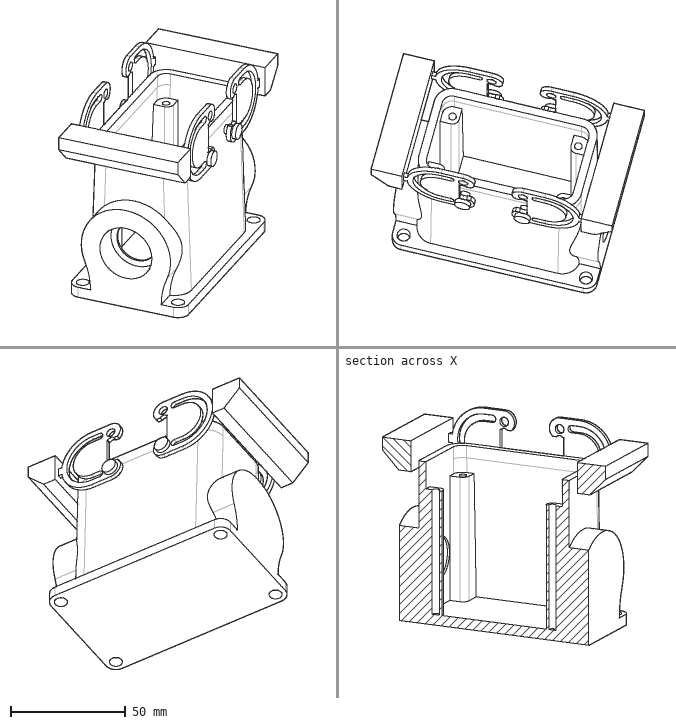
import cadquery as cq
import math

flange_half_x = 27.8
flange_half_y = 46.2
flange_height = 5.0
flange_corner_radius = 5.0
screw_hole_radius = 2.8

foot_half_x = 23.9
rim_half_x = 21.5
shell_half_y = 36.7
shell_corner_radius = 8.0
wall = 3.6
rim_bottom_z = 68.3
rim_top_z = 73.9
floor_z = 5.0

post_top_z = 61.6
post_inner_x = 9.9
post_inner_y = 25.3
post_edge_radius = 2.9
post_hole_x = 13.5
post_hole_y = 28.5
post_hole_radius = 1.6

entry_z = 26.9
entry_radius = 21.4
neck_half_x = 16.9
entry_bore_radius = 12.4
entry_hole_radius = 9.6
entry_shelf = 1.0

lever_z = 74.5
side_plate_inner_x = 24.0
side_plate_thickness = 2.0
bow_center_y = 23.3
slot_outer_radius = 12.9
slot_inner_radius = 9.6
slot_end_y = 19.3
plate_edge_y = 15.5
hook_y = 13.5
hook_offset_z = 10.6
hook_radius = 5.0
hook_hole_radius = 2.1
hook_tip_offset_z = 6.9
notch_radius = 2.0
notch_offset_z = 5.7
tab_half_z = 2.0

handle_length = 57.0
handle_inner_y = 40.5
handle_outer_y = 54.5
handle_top_z = 82.5
handle_bottom_z = 68.3
handle_slope_top_z = 76.5
handle_slope_bottom_y = 46.5

pin_head_radius = 3.5
pin_head_outer_x = flange_half_x
pin_end_x = 19.8

bow_radius = hook_offset_z + hook_radius
side_plate_outer_x = side_plate_inner_x + side_plate_thickness
pivot_z = lever_z - hook_offset_z
sides = (-1, 1)


def shell_block(inset, z_bottom):
    """Block with drafted X sides, a straight rim and round corners, offset inward by inset."""
    foot_x = foot_half_x - inset
    rim_x = rim_half_x - inset
    return (
        cq.Workplane("XZ")
        .polyline([
            (-foot_x, z_bottom),
            (foot_x, z_bottom),
            (rim_x, rim_bottom_z),
            (rim_x, rim_top_z),
            (-rim_x, rim_top_z),
            (-rim_x, rim_bottom_z),
        ])
        .close().extrude(shell_half_y - inset, both=True)
        .edges("not #Z").fillet(shell_corner_radius - inset)
    )


def flange():
    """Base plate with a screw hole concentric with each round corner."""
    plate = (
        cq.Workplane("XY")
        .rect(2 * flange_half_x, 2 * flange_half_y).extrude(flange_height)
        .edges("|Z").fillet(flange_corner_radius)
    )
    return (
        plate.faces(">Z").workplane(origin=(0, 0, 0))
        .rect(
            2 * (flange_half_x - flange_corner_radius),
            2 * (flange_half_y - flange_corner_radius),
            forConstruction=True,
        )
        .vertices().hole(2 * screw_hole_radius)
    )


def entry_bosses():
    """Round bosses on a waisted neck, running the full length of the flange."""
    drop = entry_z - flange_height
    blend_radius = (drop**2 + neck_half_x**2 - entry_radius**2) / (2 * (entry_radius - neck_half_x))
    blend_x = neck_half_x + blend_radius
    angle = math.atan2(drop, blend_x)
    tangent_x = entry_radius * math.cos(angle)
    tangent_z = entry_z - entry_radius * math.sin(angle)
    mid_x = blend_x - blend_radius * math.cos(angle / 2)
    mid_z = flange_height + blend_radius * math.sin(angle / 2)
    return (
        cq.Workplane("XZ")
        .moveTo(-neck_half_x, 0)
        .lineTo(-neck_half_x, flange_height)
        .threePointArc((-mid_x, mid_z), (-tangent_x, tangent_z))
        .threePointArc((0, entry_z + entry_radius), (tangent_x, tangent_z))
        .threePointArc((mid_x, mid_z), (neck_half_x, flange_height))
        .lineTo(neck_half_x, 0)
        .close()
        .extrude(flange_half_y, both=True)
    )


def end_cylinder(radius, y_start, y_end):
    """Cylinder along Y on the axis of the cable entries."""
    return (
        cq.Workplane("XZ", origin=(0, y_start, entry_z))
        .circle(radius).extrude(y_start - y_end)
    )


def corner_post(side_x, side_y, cavity):
    """Post filling one cavity corner, with a screw hole and a round inner edge."""
    height = post_top_z - floor_z
    block = (
        cq.Workplane("XY", origin=(0, 0, floor_z))
        .moveTo(side_x * post_inner_x, side_y * post_inner_y)
        .lineTo(side_x * foot_half_x, side_y * post_inner_y)
        .lineTo(side_x * foot_half_x, side_y * shell_half_y)
        .lineTo(side_x * post_inner_x, side_y * shell_half_y)
        .close().extrude(height)
    )
    inner_edge_middle = (side_x * post_inner_x, side_y * post_inner_y, floor_z + height / 2)
    block = block.edges(cq.selectors.NearestToPointSelector(inner_edge_middle)).fillet(post_edge_radius)
    hole = (
        cq.Workplane("XY", origin=(side_x * post_hole_x, side_y * post_hole_y, floor_z))
        .circle(post_hole_radius).extrude(height)
    )
    return block.cut(hole).intersect(cavity)


def build_housing():
    """Open-topped shell on its flange, with an entry through the -Y wall and a plain +Y boss."""
    cavity = shell_block(wall, floor_z)
    body = flange().union(shell_block(0, 0)).union(entry_bosses()).cut(cavity)
    for side_x in sides:
        for side_y in sides:
            body = body.union(corner_post(side_x, side_y, cavity))
    inner_y = shell_half_y - wall
    bore = end_cylinder(entry_bore_radius, -(inner_y + entry_shelf), -flange_half_y)
    hole = end_cylinder(entry_hole_radius, -inner_y, -flange_half_y)
    return body.cut(bore).cut(hole)


def plate_plane():
    """YZ plane on the inner face of the +X side plate."""
    return cq.Workplane("YZ", origin=(side_plate_inner_x, 0, lever_z))


def bow(radius, end_y):
    """D-shaped blank: a half disc on its +Y side, straight edges running back to end_y."""
    return (
        plate_plane()
        .moveTo(end_y, -radius)
        .lineTo(bow_center_y, -radius)
        .threePointArc((bow_center_y + radius, 0), (bow_center_y, radius))
        .lineTo(end_y, radius)
        .close()
        .extrude(side_plate_thickness)
    )


def plate_disc(y, offset_z, radius):
    """Disc as thick as the side plate."""
    return plate_plane().center(y, offset_z).circle(radius).extrude(side_plate_thickness)


def side_plate():
    """+X side plate of the +Y lever: a slotted bow with a hook at each end."""
    plate = bow(bow_radius, hook_y)
    slot = bow(slot_outer_radius, slot_end_y).cut(bow(slot_inner_radius, slot_end_y))
    slot_end_radius = (slot_outer_radius - slot_inner_radius) / 2
    slot_end_offset_z = (slot_outer_radius + slot_inner_radius) / 2
    mouth = (
        plate_plane().center(plate_edge_y / 2, 0)
        .rect(plate_edge_y, 2 * hook_tip_offset_z).extrude(side_plate_thickness)
    )
    for side in sides:
        plate = plate.union(plate_disc(hook_y, side * hook_offset_z, hook_radius))
        slot = slot.union(plate_disc(slot_end_y, side * slot_end_offset_z, slot_end_radius))
        mouth = mouth.union(plate_disc(hook_y, side * notch_offset_z, notch_radius))
    plate = plate.cut(slot).cut(mouth)
    for side in sides:
        plate = plate.cut(plate_disc(hook_y, side * hook_offset_z, hook_hole_radius))
    tab_start_y = bow_center_y + (bow_radius + slot_outer_radius) / 2
    tab = (
        plate_plane().center((tab_start_y + handle_inner_y) / 2, 0)
        .rect(handle_inner_y - tab_start_y, 2 * tab_half_z).extrude(side_plate_thickness)
    )
    return plate.union(tab)


def pivot_rod():
    """Shank of the +X pivot pin of the +Y lever."""
    return (
        cq.Workplane("YZ", origin=(pin_end_x, hook_y, pivot_z))
        .circle(hook_hole_radius).extrude(side_plate_outer_x - pin_end_x)
    )


def pivot_head():
    """Head of the pivot pin, against the outer face of the side plate."""
    return (
        cq.Workplane("YZ", origin=(side_plate_outer_x, hook_y, pivot_z))
        .circle(pin_head_radius).extrude(pin_head_outer_x - side_plate_outer_x)
    )


def handle():
    """Grip bar with a sloped lower outer face."""
    return (
        cq.Workplane("YZ")
        .polyline([
            (handle_inner_y, handle_bottom_z),
            (handle_slope_bottom_y, handle_bottom_z),
            (handle_outer_y, handle_slope_top_z),
            (handle_outer_y, handle_top_z),
            (handle_inner_y, handle_top_z),
        ])
        .close().extrude(handle_length / 2, both=True)
    )


def build_lever():
    """Lever on the +Y end: handle, two side plates and their pivot pins."""
    arm = side_plate().union(pivot_rod()).union(pivot_head())
    return handle().union(arm).union(arm.mirror("YZ"))


rear_lever = build_lever()
front_lever = rear_lever.mirror("XZ")
housing = build_housing().union(rear_lever).cut(front_lever)

result = cq.Compound.makeCompound([housing.solids().val(), front_lever.solids().val()])